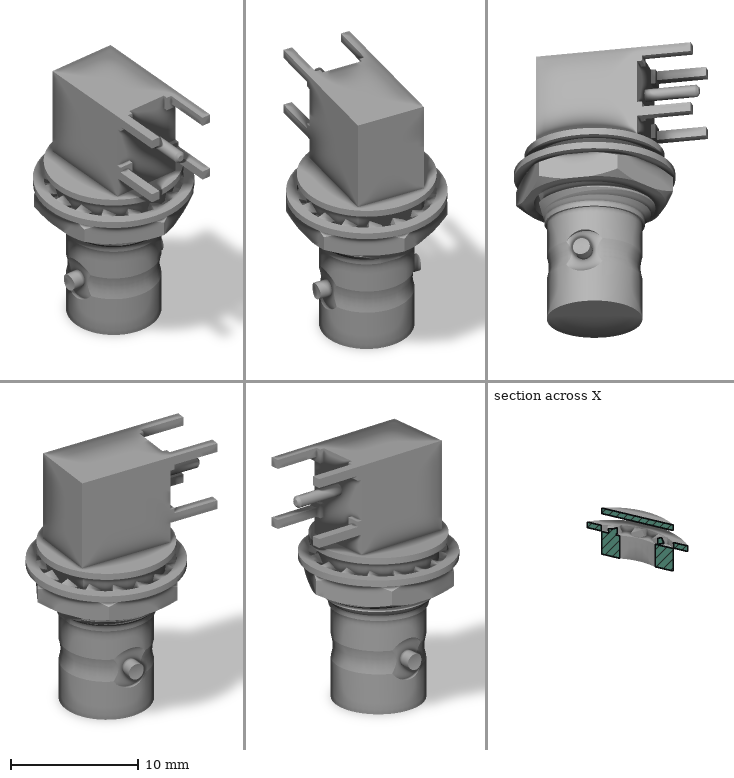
import cadquery as cq
import math

TOTAL_HEIGHT = 21.6
BARREL_RADIUS = 3.75
GROOVE_BOTTOM_Z = 3.4
GROOVE_TOP_Z = 5.35
GROOVE_RADIUS = 3.6
COLLAR_BOTTOM_Z = 8.0
COLLAR_TOP_Z = 8.46
COLLAR_RADIUS = 3.95
THREAD_RADIUS = 4.77
THREAD_TOP_Z = 13.45
FLANGE_RADIUS = 5.5
FLANGE_TOP_Z = 14.0
KEY_FLAT_DISTANCE = 3.86

THREAD_PITCH = 0.8
THREAD_DEPTH = 0.56
THREAD_HALF_ANGLE = 30.0
THREAD_TURNS = 4
THREAD_START_Z = 7.45

LUG_Z = 4.36
LUG_RADIUS = 0.68
LUG_REACH = 4.55
LUG_DISH_RADIUS = 2.6
LUG_SEAT_RADIUS = 1.75
LUG_SEAT_DISTANCE = 3.45

NUT_BOTTOM_Z = 9.85
NUT_TOP_Z = 11.9
NUT_ACROSS_FLATS = 11.0
NUT_CHAMFER_RADIUS = 5.6
NUT_CHAMFER_ANGLE = 30.0
WASHER_THICKNESS = 0.55
WASHER_RADIUS = 6.35
WASHER_INNER_RADIUS = 5.5
TOOTH_COUNT = 16
TOOTH_WIDTH = 1.08
TOOTH_TIP_RADIUS = 4.84
TOOTH_ROOT_THICKNESS = 0.5
TOOTH_TWIST = 25.0
TOOTH_FIRST_ANGLE = 1.5

BLOCK_MIN_X = -4.04
BLOCK_MAX_X = 4.12
BLOCK_WIDTH = 5.85
PIN_END_X = 8.46
PIN_SIDE = 0.75
PIN_ROW_PITCH = BLOCK_WIDTH - PIN_SIDE
STANDOFF_SIDE = 1.19
STANDOFF_HEIGHT = 0.39
CONTACT_RADIUS = 0.485
CONTACT_CHAMFER = 0.22

OVERLAP = 0.1


def make_barrel():
    """Turned body: grooved barrel, collar, conical lead-in, thread blank and flange; its seam lies on -X."""
    cone_height = THREAD_RADIUS - COLLAR_RADIUS
    groove_mid_z = (GROOVE_BOTTOM_Z + GROOVE_TOP_Z) / 2
    return (
        cq.Workplane("XZ")
        .lineTo(BARREL_RADIUS, 0)
        .lineTo(BARREL_RADIUS, GROOVE_BOTTOM_Z)
        .threePointArc((GROOVE_RADIUS, groove_mid_z), (BARREL_RADIUS, GROOVE_TOP_Z))
        .lineTo(BARREL_RADIUS, COLLAR_BOTTOM_Z)
        .lineTo(COLLAR_RADIUS, COLLAR_BOTTOM_Z)
        .lineTo(COLLAR_RADIUS, COLLAR_TOP_Z)
        .lineTo(THREAD_RADIUS, COLLAR_TOP_Z + cone_height)
        .lineTo(THREAD_RADIUS, THREAD_TOP_Z)
        .lineTo(FLANGE_RADIUS, THREAD_TOP_Z)
        .lineTo(FLANGE_RADIUS, FLANGE_TOP_Z)
        .lineTo(0, FLANGE_TOP_Z)
        .close()
        .revolve(360, (0, 0), (0, 1))
        .rotate((0, 0, 0), (0, 0, 1), 180)
    )


def make_thread_cutter():
    """V-shaped helical groove; it ends inside the nut."""
    root_radius = THREAD_RADIUS - THREAD_DEPTH
    outer_radius = THREAD_RADIUS + OVERLAP
    half_width = (outer_radius - root_radius) * math.tan(math.radians(THREAD_HALF_ANGLE))
    helix = cq.Wire.makeHelix(THREAD_PITCH, THREAD_TURNS * THREAD_PITCH, root_radius)
    cutter = (
        cq.Workplane("XZ")
        .moveTo(root_radius, 0)
        .lineTo(outer_radius, half_width)
        .lineTo(outer_radius, -half_width)
        .close()
        .sweep(cq.Workplane(obj=helix), isFrenet=True)
    )
    return cutter.translate((0, 0, THREAD_START_Z))


def make_key_flat_cutter():
    """Cylinder segment cut away on the -X side of the collar and thread, and left open in the nut."""
    half_width = math.sqrt(THREAD_RADIUS**2 - KEY_FLAT_DISTANCE**2)
    return (
        cq.Workplane("XY", origin=(0, 0, COLLAR_BOTTOM_Z))
        .moveTo(-KEY_FLAT_DISTANCE, -half_width)
        .threePointArc((-THREAD_RADIUS, 0), (-KEY_FLAT_DISTANCE, half_width))
        .close()
        .extrude(THREAD_TOP_Z - COLLAR_BOTTOM_Z)
    )


def lug_cylinder(radius, start, end):
    """Cylinder along Y at the lug height, between two distances from the axis."""
    return cq.Workplane("XZ", origin=(0, -start, LUG_Z)).circle(radius).extrude(end - start)


def make_lug():
    """Lug on the -Y side, its end dished about an X axis."""
    lug = lug_cylinder(LUG_RADIUS, 0, LUG_REACH)
    dish_center = LUG_REACH + math.sqrt(LUG_DISH_RADIUS**2 - LUG_RADIUS**2)
    dish = (
        cq.Workplane("YZ")
        .center(-dish_center, LUG_Z)
        .circle(LUG_DISH_RADIUS)
        .extrude(2 * LUG_RADIUS, both=True)
    )
    return lug.cut(dish)


def make_nut():
    """Hexagon with corners on the X axis, chamfered on both faces."""
    height = NUT_TOP_Z - NUT_BOTTOM_Z
    corner_radius = NUT_ACROSS_FLATS / math.sqrt(3)
    chamfer_radius = corner_radius + OVERLAP
    drop = (chamfer_radius - NUT_CHAMFER_RADIUS) * math.tan(math.radians(NUT_CHAMFER_ANGLE))
    envelope = (
        cq.Workplane("XZ")
        .lineTo(NUT_CHAMFER_RADIUS, 0)
        .lineTo(chamfer_radius, drop)
        .lineTo(chamfer_radius, height - drop)
        .lineTo(NUT_CHAMFER_RADIUS, height)
        .lineTo(0, height)
        .close()
        .revolve(360, (0, 0), (0, 1))
    )
    hexagon = cq.Workplane("XY").polygon(6, 2 * corner_radius).extrude(height)
    return hexagon.intersect(envelope).translate((0, 0, NUT_BOTTOM_Z))


def make_tooth():
    """Washer tooth on the +X side, twisting about its own length towards the tip."""
    length = WASHER_INNER_RADIUS + OVERLAP - TOOTH_TIP_RADIUS
    return (
        cq.Workplane("YZ")
        .transformed(rotate=(0, 0, -TOOTH_TWIST))
        .rect(TOOTH_WIDTH, WASHER_THICKNESS)
        .transformed(rotate=(0, 0, TOOTH_TWIST), offset=(0, 0, length))
        .rect(TOOTH_WIDTH, TOOTH_ROOT_THICKNESS)
        .loft(ruled=True)
        .translate((TOOTH_TIP_RADIUS, 0, NUT_TOP_Z + WASHER_THICKNESS / 2))
    )


def make_washer():
    """Lock washer with twisted internal teeth."""
    washer = (
        cq.Workplane("XY", origin=(0, 0, NUT_TOP_Z))
        .circle(WASHER_RADIUS)
        .circle(WASHER_INNER_RADIUS)
        .extrude(WASHER_THICKNESS)
    )
    tooth = make_tooth()
    teeth = []
    for index in range(TOOTH_COUNT):
        angle = TOOTH_FIRST_ANGLE + index * 360 / TOOTH_COUNT
        teeth.append(tooth.rotate((0, 0, 0), (0, 0, 1), angle).val())
    return washer.union(cq.Workplane(obj=cq.Compound.makeCompound(teeth)))


def make_block():
    """Block on the flange with four square corner pins and the round contact pin."""
    block_length = BLOCK_MAX_X - BLOCK_MIN_X
    block_mid_x = (BLOCK_MIN_X + BLOCK_MAX_X) / 2
    block = (
        cq.Workplane("XY", origin=(block_mid_x, 0, FLANGE_TOP_Z))
        .rect(block_length, BLOCK_WIDTH)
        .extrude(TOTAL_HEIGHT - FLANGE_TOP_Z)
    )
    half_row = PIN_ROW_PITCH / 2
    contact_z = TOTAL_HEIGHT - PIN_SIDE / 2 - half_row
    pin_length = PIN_END_X - BLOCK_MAX_X
    pin_face = cq.Workplane("YZ", origin=(BLOCK_MAX_X, 0, contact_z))
    pins = pin_face.rect(PIN_ROW_PITCH, PIN_ROW_PITCH, forConstruction=True).vertices()
    block = block.union(pins.rect(PIN_SIDE, PIN_SIDE).extrude(pin_length))

    standoff_pitch = PIN_ROW_PITCH + PIN_SIDE - STANDOFF_SIDE
    standoffs = pin_face.rect(standoff_pitch, standoff_pitch, forConstruction=True).vertices()
    block = block.union(standoffs.rect(STANDOFF_SIDE, STANDOFF_SIDE).extrude(STANDOFF_HEIGHT))

    contact = pin_face.circle(CONTACT_RADIUS).extrude(pin_length).faces(">X").chamfer(CONTACT_CHAMFER)
    return block.union(contact)


key_flat_cutter = make_key_flat_cutter()
body = make_barrel().cut(make_thread_cutter()).cut(key_flat_cutter)
seat_cutter = lug_cylinder(LUG_SEAT_RADIUS, LUG_SEAT_DISTANCE, BARREL_RADIUS + OVERLAP)
lug = make_lug()
for turn in (0, 180):
    body = body.cut(seat_cutter.rotate((0, 0, 0), (0, 0, 1), turn))
    body = body.union(lug.rotate((0, 0, 0), (0, 0, 1), turn))

nut = make_nut().cut(key_flat_cutter)
result = body.union(nut).union(make_washer()).union(make_block())